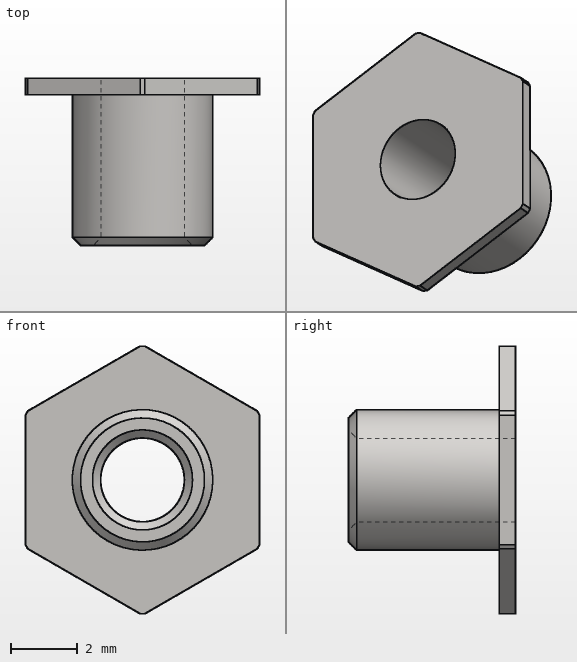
import cadquery as cq

total_length = 5.0
across_flats = 7.0
corner_diameter = 8.0
flange_thickness = 0.5
barrel_diameter = 4.2
bore_diameter = 2.5
end_chamfer = 0.25

barrel_length = total_length - flange_thickness


def disc(diameter, start_y, length):
    """Cylinder around the Y axis, growing from start_y towards -Y."""
    return cq.Workplane("XZ", origin=(0, start_y, 0)).circle(diameter / 2).extrude(length)


def hexagonal_flange():
    """Hexagonal plate with flats facing +-X and corners rounded by a circle."""
    hexagon = (
        cq.Workplane("XZ", origin=(0, flange_thickness, 0))
        .polygon(6, across_flats, circumscribed=True)
        .extrude(flange_thickness)
    )
    return hexagon.intersect(disc(corner_diameter, flange_thickness, flange_thickness))


body = hexagonal_flange().union(disc(barrel_diameter, 0, barrel_length))
body = body.cut(disc(bore_diameter, flange_thickness, total_length))

result = body.faces("<Y").edges().chamfer(end_chamfer)